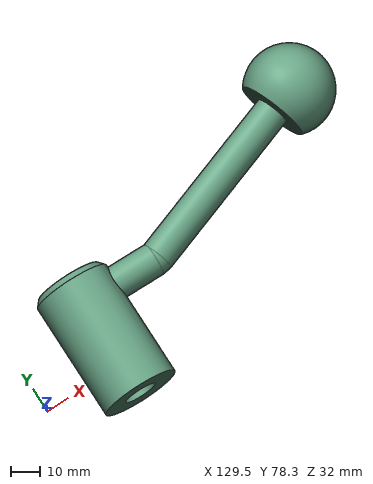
import cadquery as cq
import math

hub_diameter = 28.0
hub_length = 46.0
chamfer_along_axis = 2.3
chamfer_radial = 2.0

hole_diameter = 12.0
hole_depth = 30.0
drill_point_angle = 118

rod_diameter = 12.0
stub_height = 36.9
tilt = math.radians(20)
bend_radius = 3.6

ball_diameter = 32.0
flat_distance = 9.5

overall_length = 129.5
overall_width = 78.3
ball_x = overall_length - hub_diameter / 2 - ball_diameter / 2
ball_y = overall_width - ball_diameter / 2
bend_x = ball_x - (ball_y - stub_height) / math.tan(tilt)

tilt_direction = cq.Vector(math.cos(tilt), math.sin(tilt), 0)
bend_point = cq.Vector(bend_x, stub_height, 0)
bend_setback = bend_radius * math.tan(tilt / 2)
bend_start = bend_point - cq.Vector(bend_setback, 0, 0)
bend_end = bend_point + tilt_direction * bend_setback
ball_center = cq.Vector(ball_x, ball_y, 0)


def revolve_about_y(points):
    """Turn a profile of (radius, y) points about the Y axis."""
    return cq.Workplane("XY").polyline(points).close().revolve(360, (0, 0), (0, 1))


def make_hub():
    radius = hub_diameter / 2
    return revolve_about_y([
        (0, 0),
        (radius, 0),
        (radius, hub_length - chamfer_along_axis),
        (radius - chamfer_radial, hub_length),
        (0, hub_length),
    ])


def make_hole():
    radius = hole_diameter / 2
    point_length = radius / math.tan(math.radians(drill_point_angle / 2))
    return revolve_about_y([
        (0, 0),
        (radius, 0),
        (radius, hole_depth),
        (0, hole_depth + point_length),
    ])


def make_rod(start, end):
    axis = end - start
    return cq.Workplane(cq.Plane(start, normal=axis)).circle(rod_diameter / 2).extrude(axis.Length)


def make_bend():
    """Sweep the part of the rod section outside the pivot axis through the tilt angle."""
    rod_radius = rod_diameter / 2
    half_chord = math.sqrt(rod_radius ** 2 - bend_radius ** 2)
    pivot_plane = cq.Plane(
        bend_start + cq.Vector(0, bend_radius, 0), xDir=(0, -1, 0), normal=(1, 0, 0)
    )
    return (
        cq.Workplane(pivot_plane)
        .moveTo(0, -half_chord)
        .threePointArc((bend_radius + rod_radius, 0), (0, half_chord))
        .close()
        .revolve(math.degrees(tilt), (0, 0), (0, -1))
    )


def make_lever():
    stub = make_rod(cq.Vector(0, stub_height, 0), bend_start)
    rod = make_rod(bend_end, ball_center)
    return stub.union(rod).union(make_bend())


def make_ball():
    """Revolve the truncated half disc about the rod axis."""
    radius = ball_diameter / 2
    flat_radius = math.sqrt(radius ** 2 - flat_distance ** 2)
    return (
        cq.Workplane(cq.Plane(ball_center, xDir=tilt_direction, normal=(0, 0, 1)))
        .moveTo(-flat_distance, 0)
        .lineTo(-flat_distance, flat_radius)
        .threePointArc((0, radius), (radius, 0))
        .close()
        .revolve(360, (0, 0), (1, 0))
    )


result = make_hub().union(make_lever()).union(make_ball()).cut(make_hole())